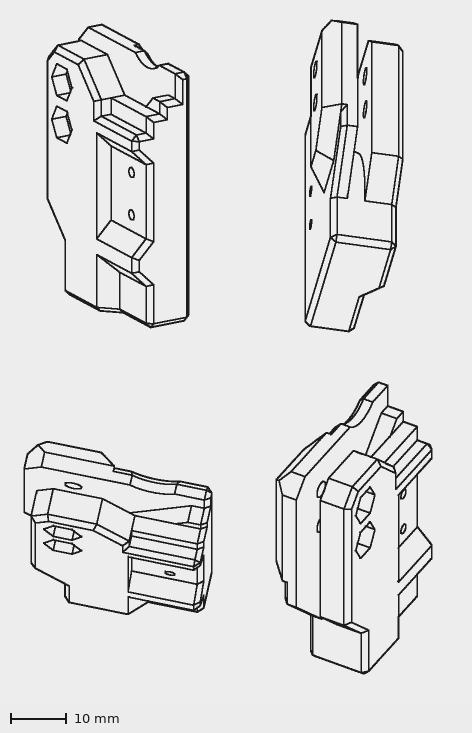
import cadquery as cq
import math

width = 34.0
height = 47.15
depth = 11.95
edge_chamfer = 1.0

slot_front = 5.9
slot_back = 9.1
foot_left = 9.2
foot_top = 10.05
flank_top = foot_top + foot_left
back_corner = 3.15

front_left = 3.0
front_top = 46.05
front_corner = 3.0
rail_left = 21.0
rail_top = 40.1
lip_top = 37.0

web_arc_start = 12.7
web_radius = 20.0
web_top = 42.43

recess_depth = 3.0
middle_recess_bottom = 13.95
middle_recess_top = 34.05
lower_recess_top = 11.0

notch_x = 23.48
notch_radius = 6.0
notch_depth = 1.6

pad_height = 3.0
pad_right = 15.95
pad_bottom = 16.95
pad_flank_top = 24.25

hole_pitch = 8.0
bolt_x = 9.0
bolt_z = 40.05
bolt_diameter = 3.0
nut_across_flats = 6.0
nut_depth = 3.0
pin_x = 28.0
pin_z = 28.05
pin_diameter = 1.8


def xz_plane(y):
    """Plane at the given Y; sketches use (x, z) and extrude towards +Y with a negative length."""
    return cq.Workplane("XZ", origin=(0, y, 0))


def plate(points, y_start, y_end):
    return xz_plane(y_start).polyline(points).close().extrude(y_start - y_end)


def back_plate():
    outline = [
        (foot_left, 0),
        (width, 0),
        (width, height),
        (back_corner, height),
        (0, height - back_corner),
        (0, flank_top),
        (foot_left, foot_top),
    ]
    notch_z = height - notch_depth + notch_radius
    notch = xz_plane(slot_back).center(notch_x, notch_z).circle(notch_radius).extrude(slot_back - depth)
    return plate(outline, slot_back, depth).cut(notch)


def front_plate():
    slope_left = rail_left - (front_top - rail_top)
    outline = [
        (foot_left, 0),
        (width, 0),
        (width, rail_top),
        (rail_left, rail_top),
        (slope_left, front_top),
        (front_left + front_corner, front_top),
        (front_left, front_top - front_corner),
        (front_left, flank_top - front_left),
        (foot_left, foot_top),
    ]
    step = cq.Workplane().box(width - rail_left, recess_depth, height - lip_top, centered=False)
    return plate(outline, 0, slot_front).cut(step.translate((rail_left, 0, lip_top)))


def web():
    centre_x = foot_left + web_radius
    diagonal = web_radius * math.sqrt(0.5)
    middle_angle = math.radians(22.5)
    arc_middle = (
        centre_x - web_radius * math.cos(middle_angle),
        web_arc_start + web_radius * math.sin(middle_angle),
    )
    arc_end = (centre_x - diagonal, web_arc_start + diagonal)
    slope_end = (arc_end[0] + web_top - arc_end[1], web_top)
    return (
        xz_plane(slot_front)
        .moveTo(foot_left, 0)
        .lineTo(foot_left, web_arc_start)
        .threePointArc(arc_middle, arc_end)
        .lineTo(*slope_end)
        .lineTo(width, web_top)
        .lineTo(width, 0)
        .close()
        .extrude(slot_front - slot_back)
    )


def middle_recess():
    """Trapezoidal channel with 45 degree walls, running out through the right side."""
    profile = [
        (0, middle_recess_bottom),
        (recess_depth, middle_recess_bottom + recess_depth),
        (recess_depth, middle_recess_top - recess_depth),
        (0, middle_recess_top),
    ]
    return cq.Workplane("YZ", origin=(rail_left, 0, 0)).polyline(profile).close().extrude(width - rail_left)


def lower_recess():
    """Corner recess with 45 degree walls above and to the left."""
    run_out = 2 * recess_depth
    size_x = width - rail_left + run_out
    size_z = lower_recess_top + run_out
    return (
        xz_plane(0)
        .center(rail_left + size_x / 2, lower_recess_top - size_z / 2)
        .rect(size_x, size_z)
        .extrude(-recess_depth, taper=45)
    )


def is_bevelled(edge):
    """True on the right side, the bottom and the plate outlines, but not on the recess rims."""
    tolerance = 0.005
    box = edge.BoundingBox()
    on_right = box.xmin > width - tolerance
    on_bottom = box.zmax < tolerance
    on_back = box.ymin > depth - tolerance
    on_front = box.ymax < tolerance
    on_recess_rim = box.xmin > rail_left - tolerance and box.zmax < lip_top - tolerance
    return on_right or on_bottom or on_back or (on_front and not on_recess_rim)


def raised_pad():
    """Pad with 45 degree sides, cut off at the plate corner; its root fills the edge chamfer beneath it."""
    outline = [
        (0, pad_flank_top),
        (pad_flank_top - pad_bottom, pad_bottom),
        (pad_right, pad_bottom),
        (pad_right, height),
        (0, height),
    ]
    corner = [
        (0, height - back_corner),
        (back_corner, height),
        (0, height),
    ]
    root = plate(outline, depth - edge_chamfer, depth)
    top = xz_plane(depth).polyline(outline).close().extrude(-pad_height, taper=45)
    return root.union(top).cut(plate(corner, depth - edge_chamfer, depth + pad_height))


def hole_pair(x, upper_z):
    return xz_plane(0).pushPoints([(x, upper_z), (x, upper_z - hole_pitch)])


body = front_plate().union(web()).union(back_plate())
body = body.cut(middle_recess()).cut(lower_recess())
body = body.edges().filter(is_bevelled).chamfer(edge_chamfer)
body = body.union(raised_pad())

full_depth = depth + pad_height
nut_diameter = nut_across_flats / math.cos(math.pi / 6)
body = body.cut(hole_pair(bolt_x, bolt_z).circle(bolt_diameter / 2).extrude(-full_depth))
body = body.cut(hole_pair(bolt_x, bolt_z).polygon(6, nut_diameter).extrude(-nut_depth))
body = body.cut(hole_pair(pin_x, pin_z).circle(pin_diameter / 2).extrude(-full_depth))

result = body